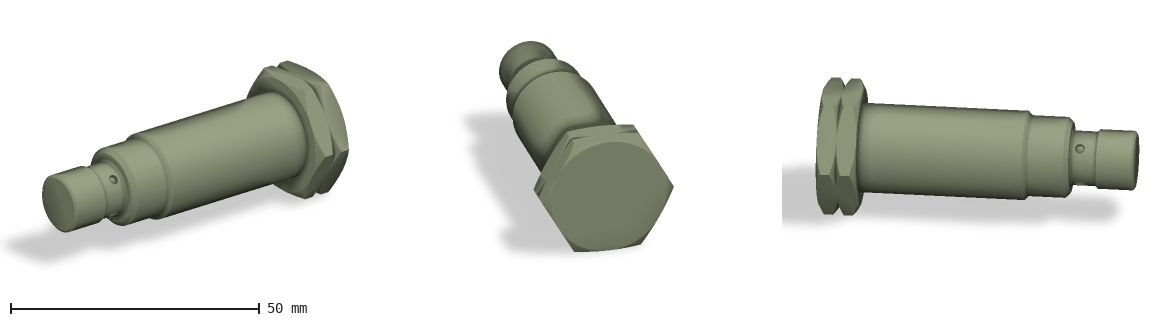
import cadquery as cq
import math


barrel_radius = 9.0
shoulder_radius = 8.15
shoulder_end_radius = 7.2
neck_radius = 5.5
neck_flare_radius = 6.0
connector_radius = 6.0
connector_end_radius = 5.5

total_length = 63.5
connector_length = 7.5
connector_tip_chamfer = 0.4
connector_back_chamfer = 0.4
shoulder_start = 13.0
shoulder_chamfer = 0.95
neck_flare_length = 0.5
barrel_start = 22.2
barrel_chamfer = 0.8

hole_count = 4
hole_first_angle = 45.0
hole_diameter = 2.0
hole_depth = 0.8
hole_peak_height = 0.7
hole_from_tip = 10.95

nut_count = 2
nut_thickness = 4.0
nut_across_flats = 24.0
nut_chamfer_angle = 30.0

tip_y = -total_length


def make_sensor_profile():
    """Half section of the sensor: X is the radius, Y is the axis."""
    shoulder_y = tip_y + shoulder_start
    barrel_y = tip_y + barrel_start
    connector_back_y = tip_y + connector_length
    return (
        cq.Workplane("XY")
        .moveTo(0, tip_y)
        .lineTo(connector_end_radius, tip_y)
        .lineTo(connector_radius, tip_y + connector_tip_chamfer)
        .lineTo(connector_radius, connector_back_y)
        .lineTo(neck_radius, connector_back_y + connector_back_chamfer)
        .lineTo(neck_radius, shoulder_y - neck_flare_length)
        .lineTo(neck_flare_radius, shoulder_y)
        .lineTo(shoulder_end_radius, shoulder_y)
        .lineTo(shoulder_radius, shoulder_y + shoulder_chamfer)
        .lineTo(shoulder_radius, barrel_y - barrel_chamfer)
        .lineTo(barrel_radius, barrel_y)
        .lineTo(barrel_radius, 0)
        .lineTo(0, 0)
        .close()
    )


def make_hole_cutter(angle):
    """Round cutter pointing radially inward, with a conical hollow in its inner end."""
    hole_radius = hole_diameter / 2
    floor = neck_radius - hole_depth
    cutter = (
        cq.Workplane("XY")
        .moveTo(floor + hole_peak_height, 0)
        .lineTo(floor, hole_radius)
        .lineTo(connector_radius, hole_radius)
        .lineTo(connector_radius, 0)
        .close()
        .revolve(360, (0, 0), (1, 0))
    )
    return cutter.translate((0, tip_y + hole_from_tip, 0)).rotate((0, 0, 0), (0, 1, 0), angle)


def make_sensor():
    sensor = make_sensor_profile().revolve(360, (0, 0), (0, 1))
    for index in range(hole_count):
        sensor = sensor.cut(make_hole_cutter(hole_first_angle + index * 360 / hole_count))
    return sensor


def make_nut(front_y):
    """Hex nut with corners on X, both faces chamfered to the across-flats circle."""
    back_y = front_y + nut_thickness
    flat_radius = nut_across_flats / 2
    corner_radius = flat_radius / math.cos(math.pi / 6)
    corner_drop = (corner_radius - flat_radius) * math.tan(math.radians(nut_chamfer_angle))
    hexagon = (
        cq.Workplane("XZ", origin=(0, back_y, 0))
        .polygon(6, 2 * corner_radius)
        .circle(barrel_radius)
        .extrude(nut_thickness)
    )
    chamfered_blank = (
        cq.Workplane("XY")
        .moveTo(0, front_y)
        .lineTo(flat_radius, front_y)
        .lineTo(corner_radius, front_y + corner_drop)
        .lineTo(corner_radius, back_y - corner_drop)
        .lineTo(flat_radius, back_y)
        .lineTo(0, back_y)
        .close()
        .revolve(360, (0, 0), (0, 1))
    )
    return hexagon.intersect(chamfered_blank)


sensor = make_sensor()
nuts = [make_nut(-(index + 1) * nut_thickness) for index in range(nut_count)]

result = cq.Compound.makeCompound([sensor.val(), *[nut.val() for nut in nuts]])